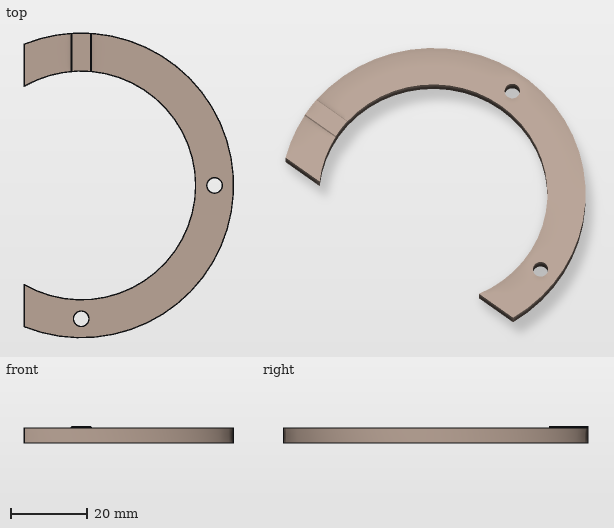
import cadquery as cq

outer_radius = 40.0
inner_radius = 30.0
ring_thickness = 4.0
opening_x = -inner_radius / 2

hole_diameter = 4.0
hole_circle_radius = (outer_radius + inner_radius) / 2
hole_centers = [(hole_circle_radius, 0), (0, -hole_circle_radius)]

pad_base_width = 5.4
pad_bevel = 0.2
pad_height = 0.3


def ring_band(height):
    """Full annulus standing on the XY plane."""
    return cq.Workplane("XY").circle(outer_radius).circle(inner_radius).extrude(height)


def open_ring():
    kept_length = outer_radius - opening_x
    kept_side = cq.Workplane("XY").box(
        kept_length, 2 * outer_radius, ring_thickness, centered=(False, True, False)
    ).translate((opening_x, 0, 0))
    return ring_band(ring_thickness).intersect(kept_side)


def raised_pad():
    """Strip of the band whose ends follow both ring walls."""
    total_height = ring_thickness + pad_height
    half_base = pad_base_width / 2
    half_top = half_base - pad_bevel
    profile = [
        (-half_base, 0),
        (half_base, 0),
        (half_base, ring_thickness),
        (half_top, total_height),
        (-half_top, total_height),
        (-half_base, ring_thickness),
    ]
    strip = cq.Workplane("XZ").polyline(profile).close().extrude(-outer_radius)
    return ring_band(total_height).intersect(strip)


def hole_cutters():
    return cq.Workplane("XY").pushPoints(hole_centers).circle(hole_diameter / 2).extrude(ring_thickness)


result = open_ring().union(raised_pad()).cut(hole_cutters())